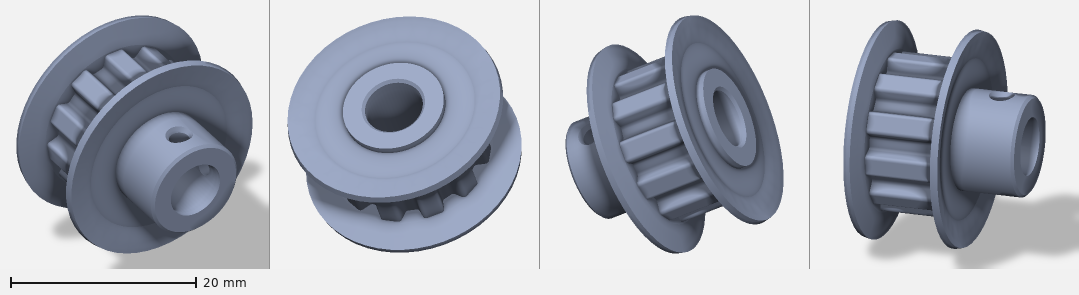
import cadquery as cq
import math


total_length = 17.5
rim_start = 0.25
rim_end = 10.95
middle = (rim_start + rim_end) / 2

flange_radius = 11.92
bend_radius = 8.82
flange_thickness = 0.8
bend_angle = math.radians(12)

tooth_count = 11
tip_radius = 8.65
root_radius = 7.25
gap_root_width = 1.33
gap_flank_angle = math.radians(25)
root_fillet = 0.4
tip_fillet = 0.4

hub_radius = 5.58
hub_chamfer = 0.3
bore_radius = 3.2
bore_chamfer = 0.3

screw_position = 14.32
screw_radius = 1.12
mouth_depth = 0.67
mouth_slope_along = 0.4
mouth_slope_around = 0.85

clearance = 0.25


def make_flange():
    """First flange, revolved from its half section (x along the axis, y as radius)."""
    rim_corner_radius = flange_radius - flange_thickness * math.sin(bend_angle)
    rim_inner = rim_start + flange_thickness * math.cos(bend_angle)
    slope_run = (rim_corner_radius - bend_radius) * math.tan(bend_angle)
    disc_outer = rim_start + slope_run
    disc_inner = disc_outer + flange_thickness
    inner_bend_radius = bend_radius + flange_thickness * math.tan(bend_angle / 2)
    return (
        cq.Workplane("XY")
        .moveTo(disc_outer, 0)
        .lineTo(disc_outer, bend_radius)
        .lineTo(rim_start, rim_corner_radius)
        .lineTo(rim_inner, flange_radius)
        .lineTo(disc_inner, inner_bend_radius)
        .lineTo(disc_inner, 0)
        .close()
        .revolve(360, (0, 0, 0), (1, 0, 0))
    )


def make_toothed_track():
    """Toothed core between the flanges, with one tooth centred on +Z."""
    core_start = rim_start + flange_thickness
    core_length = 2 * (middle - core_start)
    tooth_pitch = 360 / tooth_count
    core = (
        cq.Workplane("YZ", origin=(core_start, 0, 0))
        .transformed(rotate=(0, 0, 90))
        .polygon(tooth_count, 2 * tip_radius, circumscribed=True)
        .extrude(core_length)
    )

    half_root = gap_root_width / 2
    root_edge = math.sqrt(root_radius**2 - half_root**2)
    gap_top = tip_radius / math.cos(math.pi / tooth_count) + clearance
    half_top = half_root + (gap_top - root_edge) * math.tan(gap_flank_angle)
    gap = (
        cq.Workplane("YZ", origin=(core_start, 0, 0))
        .moveTo(-half_top, gap_top)
        .lineTo(-half_root, root_edge)
        .threePointArc((0, root_radius), (half_root, root_edge))
        .lineTo(half_top, gap_top)
        .close()
        .extrude(core_length)
    )
    for i in range(tooth_count):
        core = core.cut(gap.rotate((0, 0, 0), (1, 0, 0), (i + 0.5) * tooth_pitch))

    mid_tooth_radius = (tip_radius + root_radius) / 2

    def is_at_tip(edge):
        return math.hypot(edge.Center().y, edge.Center().z) > mid_tooth_radius

    core = core.edges("|X").filter(lambda edge: not is_at_tip(edge)).fillet(root_fillet)
    return core.edges("|X").filter(is_at_tip).fillet(tip_fillet)


def make_hub():
    """Plain cylinder along the whole axis, chamfered at the set-screw end."""
    return (
        cq.Workplane("YZ")
        .circle(hub_radius)
        .extrude(total_length)
        .faces(">X")
        .chamfer(hub_chamfer)
    )


def make_bore():
    """Cutter for the through bore, chamfered where it enters the boss at x = 0."""
    bore = cq.Workplane("YZ").circle(bore_radius).extrude(total_length)
    entry = (
        cq.Workplane("YZ")
        .circle(bore_radius + bore_chamfer)
        .workplane(offset=bore_chamfer)
        .circle(bore_radius)
        .loft()
    )
    return bore.union(entry)


def make_screw_hole():
    """Cutter for the set-screw hole that runs from the +Z side of the hub into the bore."""
    hole = (
        cq.Workplane("XY")
        .center(screw_position, 0)
        .circle(screw_radius)
        .extrude(hub_radius)
    )
    mouth_height = mouth_depth + clearance
    mouth_base = cq.Plane(
        origin=(screw_position, 0, hub_radius - mouth_depth),
        xDir=(0, 1, 0),
        normal=(0, 0, 1),
    )
    mouth = (
        cq.Workplane(mouth_base)
        .circle(screw_radius)
        .workplane(offset=mouth_height)
        .ellipse(
            screw_radius + mouth_height * mouth_slope_around,
            screw_radius + mouth_height * mouth_slope_along,
        )
        .loft(ruled=True)
    )
    return hole.union(mouth)


first_flange = make_flange()
second_flange = first_flange.mirror("YZ", (middle, 0, 0))
top_screw_hole = make_screw_hole()
side_screw_hole = top_screw_hole.rotate((0, 0, 0), (1, 0, 0), -90)

result = (
    make_hub()
    .union(make_toothed_track())
    .union(first_flange)
    .union(second_flange)
    .cut(make_bore())
    .cut(top_screw_hole)
    .cut(side_screw_hole)
)